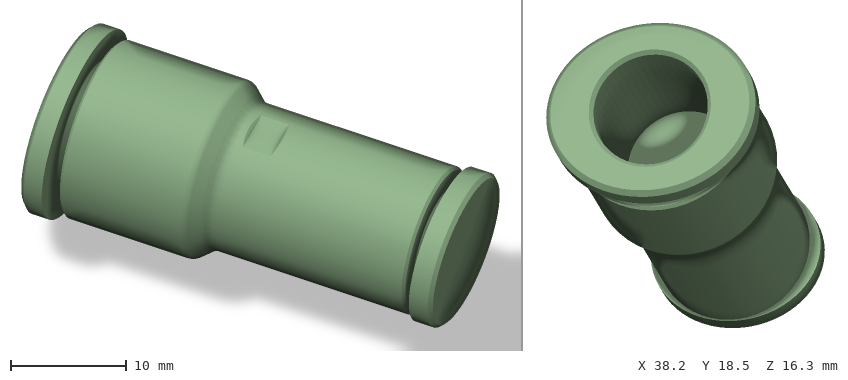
import cadquery as cq
import math

LARGE_COLLAR_END = 2.13
LARGE_BODY_START = 3.25
SHOULDER_START = 14.7
SMALL_BODY_END = 35.3
SMALL_COLLAR_START = 36.08
TOTAL_LENGTH = 38.2

LARGE_BODY_RADIUS = 16.3 / 2
SMALL_BODY_RADIUS = 13.5 / 2
BODY_CHAMFER = 0.25
CONE_ANGLE = 41.0
CREST_RADIUS = 0.85
ROOT_RADIUS = 1.05

LARGE_COLLAR_WIDTH = 18.5
LARGE_COLLAR_HEIGHT = 16.0
LARGE_COLLAR_CHAMFER = 0.45
SMALL_COLLAR_WIDTH = 15.0
SMALL_COLLAR_HEIGHT = 13.0
SMALL_COLLAR_CHAMFER = 0.35

LARGE_SLEEVE_RADIUS = 11.7 / 2
SMALL_SLEEVE_RADIUS = 9.6 / 2
SLEEVE_FILLET = 0.1

SOCKET_RADIUS = 10.1 / 2
SOCKET_CHAMFER = 0.35
SOCKET_DEPTH = SHOULDER_START

FLAT_START = 17.95
FLAT_LENGTH = 2.6
FLAT_WIDTH = 4.0
FLAT_DEPTH = 0.3


def sleeve(collar_face, body_face, radius):
    """Sleeve between a collar and the body, with a small root fillet against the collar."""
    toward_body = math.copysign(SLEEVE_FILLET, body_face - collar_face)
    fillet_end = collar_face + toward_body
    inset = 1 - math.sqrt(0.5)
    fillet_middle = (collar_face + toward_body * inset, radius + SLEEVE_FILLET * inset)
    outline = (
        cq.Workplane("XZ")
        .moveTo(collar_face, 0)
        .lineTo(collar_face, radius + SLEEVE_FILLET)
        .threePointArc(fillet_middle, (fillet_end, radius))
        .lineTo(body_face, radius)
        .lineTo(body_face, 0)
        .close()
    )
    return outline.revolve(360, (0, 0, 0), (1, 0, 0))


def body():
    """Stepped body with a rounded conical shoulder, turned about the X axis."""
    angle = math.radians(CONE_ANGLE)
    half_angle = angle / 2

    crest_length = CREST_RADIUS * math.sin(angle)
    crest_drop = CREST_RADIUS * (1 - math.cos(angle))
    root_length = ROOT_RADIUS * math.sin(angle)
    root_drop = ROOT_RADIUS * (1 - math.cos(angle))
    cone_drop = LARGE_BODY_RADIUS - SMALL_BODY_RADIUS - crest_drop - root_drop
    shoulder_end = SHOULDER_START + crest_length + cone_drop / math.tan(angle) + root_length

    crest_middle = (
        SHOULDER_START + CREST_RADIUS * math.sin(half_angle),
        LARGE_BODY_RADIUS - CREST_RADIUS * (1 - math.cos(half_angle)),
    )
    root_middle = (
        shoulder_end - ROOT_RADIUS * math.sin(half_angle),
        SMALL_BODY_RADIUS + ROOT_RADIUS * (1 - math.cos(half_angle)),
    )

    outline = (
        cq.Workplane("XZ")
        .moveTo(LARGE_BODY_START, 0)
        .lineTo(LARGE_BODY_START, LARGE_BODY_RADIUS - BODY_CHAMFER)
        .lineTo(LARGE_BODY_START + BODY_CHAMFER, LARGE_BODY_RADIUS)
        .lineTo(SHOULDER_START, LARGE_BODY_RADIUS)
        .threePointArc(crest_middle, (SHOULDER_START + crest_length, LARGE_BODY_RADIUS - crest_drop))
        .lineTo(shoulder_end - root_length, SMALL_BODY_RADIUS + root_drop)
        .threePointArc(root_middle, (shoulder_end, SMALL_BODY_RADIUS))
        .lineTo(SMALL_BODY_END - BODY_CHAMFER, SMALL_BODY_RADIUS)
        .lineTo(SMALL_BODY_END, SMALL_BODY_RADIUS - BODY_CHAMFER)
        .lineTo(SMALL_BODY_END, 0)
        .close()
    )
    return outline.revolve(360, (0, 0, 0), (1, 0, 0))


def collar(start, end, width, height, outer_face, chamfer):
    """Oval disc across the X axis with its outer edge chamfered."""
    disc = cq.Workplane("YZ").workplane(offset=start).ellipse(width / 2, height / 2).extrude(end - start)
    return disc.faces(outer_face).edges().chamfer(chamfer)


def socket():
    """Blind tube socket with a lead-in chamfer at its mouth."""
    mouth_radius = SOCKET_RADIUS + SOCKET_CHAMFER
    outline = (
        cq.Workplane("XZ")
        .lineTo(0, mouth_radius)
        .lineTo(SOCKET_CHAMFER, SOCKET_RADIUS)
        .lineTo(SOCKET_DEPTH, SOCKET_RADIUS)
        .lineTo(SOCKET_DEPTH, 0)
        .close()
    )
    return outline.revolve(360, (0, 0, 0), (1, 0, 0))


def flat():
    """Cutter for the shallow flat, its two end walls sloping outwards at 45 degrees."""
    floor = SMALL_BODY_RADIUS - FLAT_DEPTH
    end = FLAT_START + FLAT_LENGTH
    outline = [
        (FLAT_START, floor),
        (end, floor),
        (end + FLAT_DEPTH, SMALL_BODY_RADIUS),
        (FLAT_START - FLAT_DEPTH, SMALL_BODY_RADIUS),
    ]
    return cq.Workplane("XZ").polyline(outline).close().extrude(FLAT_WIDTH / 2, both=True)


large_collar = collar(
    0, LARGE_COLLAR_END, LARGE_COLLAR_WIDTH, LARGE_COLLAR_HEIGHT, "<X", LARGE_COLLAR_CHAMFER
)
small_collar = collar(
    SMALL_COLLAR_START, TOTAL_LENGTH, SMALL_COLLAR_WIDTH, SMALL_COLLAR_HEIGHT, ">X", SMALL_COLLAR_CHAMFER
)
large_sleeve = sleeve(LARGE_COLLAR_END, LARGE_BODY_START, LARGE_SLEEVE_RADIUS)
small_sleeve = sleeve(SMALL_COLLAR_START, SMALL_BODY_END, SMALL_SLEEVE_RADIUS)

fitting = body().union(large_sleeve).union(large_collar).union(small_sleeve).union(small_collar)
result = fitting.cut(socket()).cut(flat())